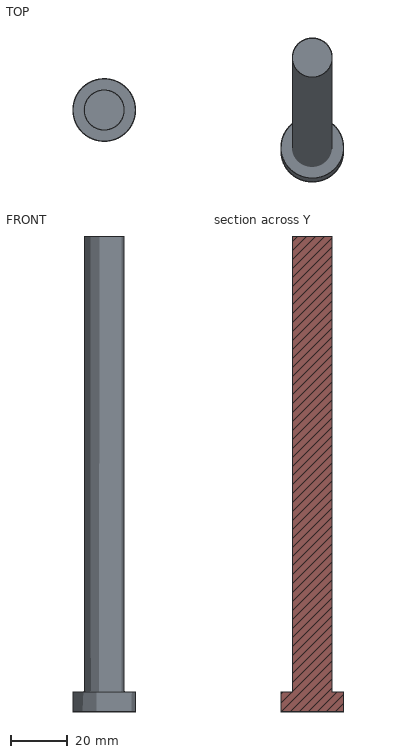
import cadquery as cq

total_length = 167.0
head_diameter = 22.0
head_height = 7.0
shank_diameter = 14.0
neck_fillet = 0.2

head_radius = head_diameter / 2
shank_radius = shank_diameter / 2

half_section = (
    cq.Workplane("XZ")
    .lineTo(head_radius, 0)
    .lineTo(head_radius, head_height)
    .lineTo(shank_radius + neck_fillet, head_height)
    .radiusArc((shank_radius, head_height + neck_fillet), neck_fillet)
    .lineTo(shank_radius, total_length)
    .lineTo(0, total_length)
    .close()
)

result = half_section.revolve(360, (0, 0, 0), (0, 1, 0))